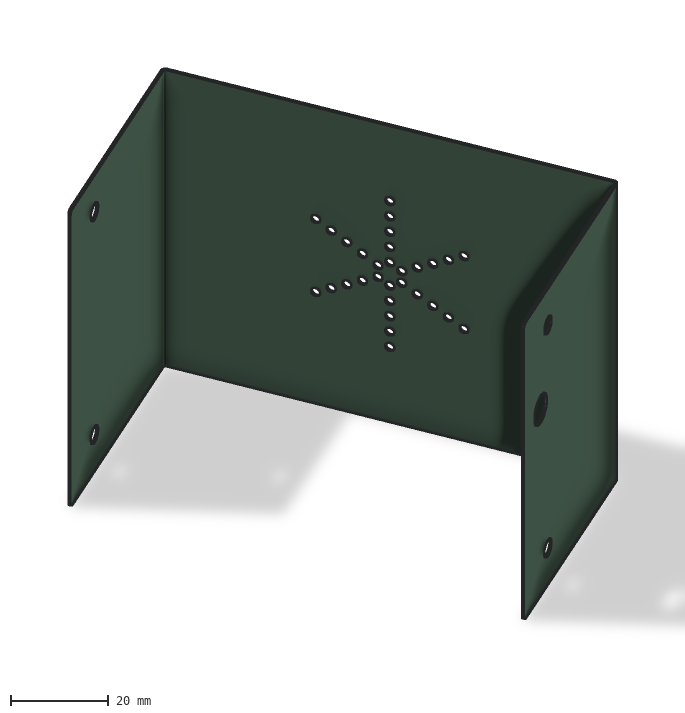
import cadquery as cq
import math

width = 100.8
depth = 51.4
height = 77.0
sheet = 0.5
bend_radius = 1.0
corner_radius = 1.0

vent_diameter = 2.0
vent_rays = 6
vents_per_ray = 5
first_vent_radius = 3.0
last_vent_radius = 19.0

screw_diameter = 4.0
screw_edge_distance = 13.0
screw_spacing = 58.0
cable_diameter = 7.0
cable_edge_distance = 9.0
cable_height = 10.0

front_y = -depth / 2
back_y = depth / 2


def folded_sheet():
    """U-shaped sheet: a back panel with a flange folded forward at each side."""
    outer = (
        cq.Workplane("XY")
        .box(width, depth, height)
        .edges("|Z and >Y")
        .fillet(bend_radius)
    )
    inner = (
        cq.Workplane("XY")
        .box(width - 2 * sheet, depth, height)
        .edges("|Z and >Y")
        .fillet(bend_radius - sheet)
        .translate((0, -sheet, 0))
    )
    return outer.cut(inner).edges("|X and <Y").fillet(corner_radius)


def vent_star():
    """Cutters for the vent holes, set out along rays from the panel centre."""
    pitch = (last_vent_radius - first_vent_radius) / (vents_per_ray - 1)
    centres = []
    for ray in range(vent_rays):
        angle = math.radians(90 + ray * 360 / vent_rays)
        for step in range(vents_per_ray):
            radius = first_vent_radius + step * pitch
            centres.append((radius * math.cos(angle), radius * math.sin(angle)))
    return (
        cq.Workplane("XZ", origin=(0, back_y, 0))
        .pushPoints(centres)
        .circle(vent_diameter / 2)
        .extrude(sheet)
    )


def screw_holes():
    """Cutters for the screw holes, passing through both flanges."""
    y = front_y + screw_edge_distance
    return (
        cq.Workplane("YZ")
        .pushPoints([(y, -screw_spacing / 2), (y, screw_spacing / 2)])
        .circle(screw_diameter / 2)
        .extrude(width / 2, both=True)
    )


def cable_hole():
    """Cutter for the larger hole in the +X flange only."""
    return (
        cq.Workplane("YZ")
        .center(front_y + cable_edge_distance, cable_height)
        .circle(cable_diameter / 2)
        .extrude(width / 2)
    )


result = folded_sheet().cut(vent_star()).cut(screw_holes()).cut(cable_hole())